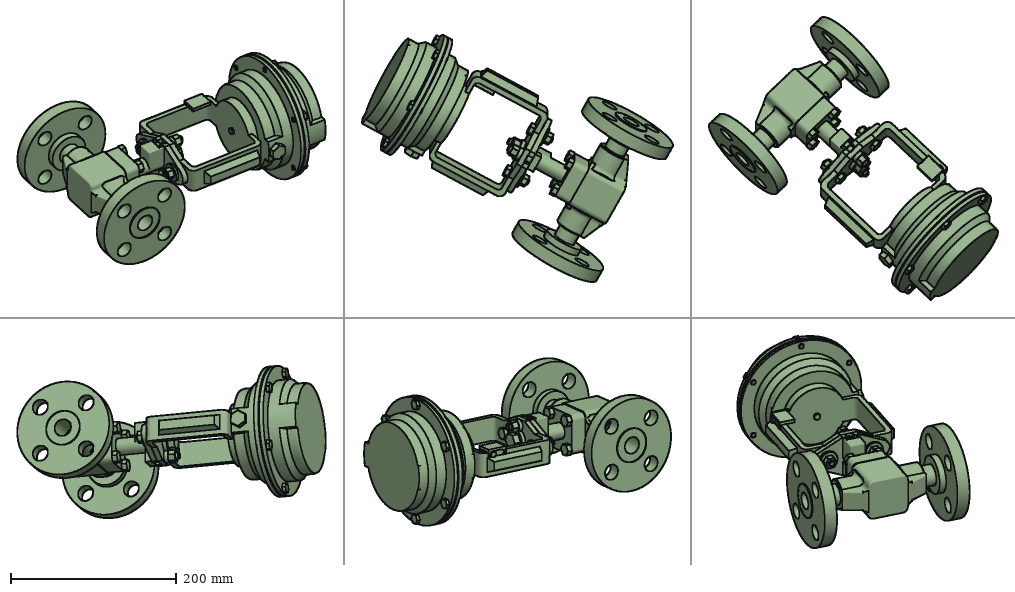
import cadquery as cq
import math


face_to_face = 193.55
flange_diameter = 117.475
flange_back_x = 79.2
raised_face_diameter = 42.9
raised_face_height = 1.3
hub_diameter = 47.7
hub_end_x = 70.7
pipe_diameter = 26.67
pipe_bore = 20.93
bolt_circle = 82.55
bolt_hole_diameter = 19.05
bolt_hole_count = 4

barrel_radius = 19.0
barrel_half_length = 55.3
barrel_chamfer = 1.2
block_half = 26.2
block_corner = 7.0
block_bottom_y = -31.8
block_top_y = 19.2
block_edge_fillet = 2.0
rib_half_width = 13.2
rib_flare_radius = 6.0
barrel_flare_half_depth = 22.0
rib_end_y = -barrel_radius
bonnet_half = 25.1
bonnet_corner = 6.6
bonnet_top_y = 38.9
bonnet_nut_offset = 18.5
bonnet_nut_height = 6.5
neck_radius = 10.3

clamp_half_width = neck_radius
clamp_bottom_y = 62.6
clamp_top_z = 25.5
clamp_edge_fillet = 1.5
lug_bottom_y = 76.7
lug_top_z = -7.5
clamp_slot_width = 15.6
clamp_slot_depth = 5.6
clamp_slot_floor_z = 10.5

plate_bottom_y = 85.0
plate_top_y = 92.0
plate_half_length = 51.3
plate_end_radius = 11.5
plate_half_height = 26.0
plate_flat_half = 11.0
stud_z = 18.3
stud_slot_half_width = 4.9
stud_radius = 4.0
stud_tip_bevel = 1.0
foot_bolt_x = 29.9

m8_across_flats = 13.0
m8_head_height = 5.3
m8_nut_height = 7.5
upper_nut_height = 8.5
lower_stud_overhang = 2.0
upper_stud_overhang = 4.2
m8_washer_height = 3.0
large_washer_radius = 11.4
small_washer_radius = 7.5
washer_stack_height = 5.2

yoke_outer_x = 59.7
yoke_thickness = 7.0
yoke_bottom_y = plate_top_y
yoke_top_y = 196.0
yoke_top_thickness = 5.5
yoke_half_depth = 15.3
yoke_outer_radius = 8.0
yoke_inner_radius = 5.0

pad_start_y = 110.3
pad_end_y = 187.7
pad_width = 18.4
pad_height = 9.7
pad_taper = 19.3

indicator_outer_x = -61.0
indicator_inner_x = -41.3
indicator_start_y = 160.9
indicator_end_y = 186.6
indicator_top_z = 19.5
indicator_skirt_z = 9.4
indicator_screw_y = 180.5
indicator_screw_z = 12.8
indicator_screw_radius = 3.6
indicator_screw_height = 2.0
indicator_slot_end_y = 163.9
indicator_slot_depth = 0.6

stem_washer_radius = 13.0
stem_nut_across_flats = 17.6

boss_radius = 38.4
boss_bottom_y = yoke_top_y - yoke_top_thickness
case_bottom_y = 203.0
case_top_y = 285.23
case_end_radius = 55.6
case_radius = 61.9
lower_cone_start_y = 216.8
lower_cone_end_y = 224.1
upper_cone_start_y = 264.3
upper_cone_end_y = 271.6
rim_radius = 79.375
rim_bottom_y = 237.9
rim_top_y = 249.8
rim_gap_y = 243.9
rim_gap_height = 1.0
rim_gap_depth = 1.0
end_bevel_height = 2.8
end_bevel_depth = 0.9
case_rib_half_width = 15.2
rim_screw_count = 6
rim_screw_circle = 72.8
rim_screw_across_flats = 11.0
rim_screw_head = 4.3
rim_screw_radius = 3.2
rim_screw_end = 1.0
stem_end_radius = 4.0
stem_end_length = 2.4
air_port_y = 213.8
air_port_across_flats = 17.5
air_port_end_x = 68.3


def cylinder_y(radius, start_y, end_y, x=0.0, z=0.0):
    return cq.Workplane("XZ", origin=(x, end_y, z)).circle(radius).extrude(end_y - start_y)


def hexagon_y(across_flats, start_y, end_y, x=0.0, z=0.0):
    """Hexagonal prism along Y with two of its corners pointing along X."""
    across_corners = across_flats / math.cos(math.radians(30))
    plane = cq.Workplane("XZ", origin=(x, end_y, z))
    return plane.polygon(6, across_corners).extrude(end_y - start_y)


def cylinder_x(radius, start_x, end_x, y=0.0, z=0.0):
    return cq.Workplane("YZ", origin=(start_x, y, z)).circle(radius).extrude(end_x - start_x)


def box_between(x0, x1, y0, y1, z0, z1):
    return cq.Workplane("XY").box(x1 - x0, y1 - y0, z1 - z0, centered=False).translate((x0, y0, z0))


def stud_end(start_y, length, x, z):
    """Stud tip with a bevelled end; a negative length makes it point towards -Y."""
    low_y, high_y = sorted((start_y, start_y + length))
    tip_face = ">Y" if length > 0 else "<Y"
    return cylinder_y(stud_radius, low_y, high_y, x, z).faces(tip_face).chamfer(stud_tip_bevel)


def foot_outline(corners):
    """Closed XZ outline that mirrors a chain of (x, z) corners in both axes."""
    upper = corners + [(-x, z) for x, z in reversed(corners)]
    return upper + [(-x, -z) for x, z in upper]


def make_pipe_flange(side):
    outer_x = face_to_face / 2
    face_x = outer_x - raised_face_height
    flange = cylinder_x(flange_diameter / 2, flange_back_x, face_x)
    flange = flange.union(cylinder_x(raised_face_diameter / 2, flange_back_x, outer_x))
    flange = flange.union(cylinder_x(hub_diameter / 2, hub_end_x, flange_back_x))
    flange = flange.union(cylinder_x(pipe_diameter / 2, barrel_half_length, hub_end_x))
    flange = flange.cut(cylinder_x(pipe_bore / 2, barrel_half_length, outer_x))
    for index in range(bolt_hole_count):
        angle = math.radians(360 / bolt_hole_count * (index + 0.5))
        hole_y = bolt_circle / 2 * math.cos(angle)
        hole_z = bolt_circle / 2 * math.sin(angle)
        flange = flange.cut(cylinder_x(bolt_hole_diameter / 2, flange_back_x, outer_x, hole_y, hole_z))
    if side < 0:
        flange = flange.rotate((0, 0, 0), (0, 1, 0), 180)
    return flange


def make_block():
    """Main block with rounded corners and concave flares that lead into the ribs."""
    flare_end_x = block_half + rib_flare_radius
    corner_z = block_half - block_corner
    outline = (
        cq.Workplane("XZ", origin=(0, block_top_y, 0))
        .moveTo(-flare_end_x, -rib_half_width)
        .radiusArc((-block_half, -corner_z), rib_flare_radius)
        .radiusArc((-corner_z, -block_half), -block_corner)
        .lineTo(corner_z, -block_half)
        .radiusArc((block_half, -corner_z), -block_corner)
        .radiusArc((flare_end_x, -rib_half_width), rib_flare_radius)
        .lineTo(flare_end_x, rib_half_width)
        .radiusArc((block_half, corner_z), rib_flare_radius)
        .radiusArc((corner_z, block_half), -block_corner)
        .lineTo(-corner_z, block_half)
        .radiusArc((-block_half, corner_z), -block_corner)
        .radiusArc((-flare_end_x, rib_half_width), rib_flare_radius)
        .close()
    )
    block = outline.extrude(block_top_y - block_bottom_y)
    block = block.intersect(rib_side_prism(block_top_y, block_half))
    front_edges = block.faces("<Y").edges("%CIRCLE or >Z or <Z")
    return front_edges.fillet(block_edge_fillet)


def rib_side_prism(top_y, half_width):
    """Prism along Z whose lower side slopes up from the block towards both ends of the barrel."""
    side_profile = [
        (-barrel_half_length, rib_end_y),
        (-block_half, block_bottom_y),
        (block_half, block_bottom_y),
        (barrel_half_length, rib_end_y),
        (barrel_half_length, top_y),
        (-barrel_half_length, top_y),
    ]
    prism = cq.Workplane("XY", origin=(0, 0, -half_width)).polyline(side_profile).close()
    return prism.extrude(2 * half_width)


def make_ribs():
    sloped_edges = "(>Z or <Z) and (not #X) and (not |X)"
    return rib_side_prism(0, rib_half_width).edges(sloped_edges).fillet(block_edge_fillet)


def make_bonnet():
    bonnet = box_between(-bonnet_half, bonnet_half, block_top_y, bonnet_top_y, -bonnet_half, bonnet_half)
    bonnet = bonnet.edges("|Y").fillet(bonnet_corner)
    nut_top_y = bonnet_top_y + bonnet_nut_height
    for x in (-bonnet_nut_offset, bonnet_nut_offset):
        for z in (-bonnet_nut_offset, bonnet_nut_offset):
            bonnet = bonnet.union(hexagon_y(m8_across_flats, bonnet_top_y, nut_top_y, x, z))
    return bonnet.union(cylinder_y(neck_radius, bonnet_top_y, plate_bottom_y))


def make_clamp():
    """Clamp block on the neck, with a slot for the head of the upper stud, and a shorter lower lug."""
    clamp = box_between(-clamp_half_width, clamp_half_width, clamp_bottom_y, plate_bottom_y, 0, clamp_top_z)
    clamp = clamp.edges("(>Z or <Y) and (not >Y) and (not <Z)").fillet(clamp_edge_fillet)
    slot = box_between(
        -clamp_slot_width / 2,
        clamp_slot_width / 2,
        plate_bottom_y - clamp_slot_depth,
        plate_bottom_y,
        clamp_slot_floor_z,
        clamp_top_z,
    )
    lug = box_between(
        -clamp_half_width, clamp_half_width, lug_bottom_y, plate_bottom_y, -clamp_top_z, lug_top_z
    )
    return clamp.cut(slot).union(lug)


def make_mounting_plate():
    """Diamond plate with rounded ends and an open slot at the top and bottom for the studs."""
    end_x = plate_half_length - plate_end_radius
    slope = math.atan2(plate_half_height - plate_end_radius, end_x - plate_flat_half)
    tangent_x = end_x + plate_end_radius * math.sin(slope)
    tangent_z = plate_end_radius * math.cos(slope)
    outline = (
        cq.Workplane("XZ", origin=(0, plate_top_y, 0))
        .moveTo(-plate_flat_half, plate_half_height)
        .lineTo(plate_flat_half, plate_half_height)
        .lineTo(tangent_x, tangent_z)
        .threePointArc((plate_half_length, 0), (tangent_x, -tangent_z))
        .lineTo(plate_flat_half, -plate_half_height)
        .lineTo(-plate_flat_half, -plate_half_height)
        .lineTo(-tangent_x, -tangent_z)
        .threePointArc((-plate_half_length, 0), (-tangent_x, tangent_z))
        .close()
    )
    plate = outline.extrude(plate_top_y - plate_bottom_y)
    for side in (-1, 1):
        z0, z1 = sorted((side * stud_z, side * plate_half_height))
        slot = box_between(-stud_slot_half_width, stud_slot_half_width, plate_bottom_y, plate_top_y, z0, z1)
        slot = slot.union(cylinder_y(stud_slot_half_width, plate_bottom_y, plate_top_y, 0, side * stud_z))
        head = hexagon_y(m8_across_flats, plate_bottom_y - m8_head_height, plate_bottom_y, 0, side * stud_z)
        shank = cylinder_y(stud_radius, plate_bottom_y, plate_top_y, 0, side * stud_z)
        plate = plate.cut(slot).union(head).union(shank)
    nut_top_y = plate_bottom_y - m8_washer_height
    nut_bottom_y = nut_top_y - m8_nut_height
    for x in (-foot_bolt_x, foot_bolt_x):
        plate = plate.union(cylinder_y(large_washer_radius, nut_top_y, plate_bottom_y, x))
        plate = plate.union(hexagon_y(m8_across_flats, nut_bottom_y, nut_top_y, x))
        plate = plate.union(stud_end(nut_bottom_y, -lower_stud_overhang, x, 0))
    return plate


def make_barrel():
    """Round barrel along the pipe, widening in concave blends where it meets the block."""
    barrel = cylinder_x(barrel_radius, -barrel_half_length, barrel_half_length)
    barrel = barrel.faces("<X or >X").chamfer(barrel_chamfer)
    flare_end_x = block_half + rib_flare_radius
    flare_top = barrel_radius + rib_flare_radius
    flare = (
        cq.Workplane("XY")
        .lineTo(flare_end_x, 0)
        .lineTo(flare_end_x, barrel_radius)
        .radiusArc((block_half, flare_top), rib_flare_radius)
        .lineTo(0, flare_top)
        .close()
        .revolve(360, (0, 0, 0), (1, 0, 0))
    )
    flare = flare.union(flare.mirror("YZ"))
    limit = box_between(
        -flare_end_x,
        flare_end_x,
        block_bottom_y,
        block_top_y,
        -barrel_flare_half_depth,
        barrel_flare_half_depth,
    )
    return barrel.union(flare.intersect(limit))


def make_valve_body():
    body = make_block().union(make_ribs())
    return body.union(make_barrel()).union(make_bonnet()).union(make_clamp()).union(make_mounting_plate())


def make_yoke():
    inner_x = yoke_outer_x - yoke_thickness
    frame = box_between(
        -yoke_outer_x, yoke_outer_x, yoke_bottom_y, yoke_top_y, -yoke_half_depth, yoke_half_depth
    )
    window = box_between(
        -inner_x,
        inner_x,
        yoke_bottom_y + yoke_thickness,
        yoke_top_y - yoke_top_thickness,
        -yoke_half_depth,
        yoke_half_depth,
    )
    frame = frame.edges("|Z").fillet(yoke_outer_radius)
    frame = frame.cut(window.edges("|Z").fillet(yoke_inner_radius))

    slope = (plate_half_height - plate_end_radius) / (plate_half_length - plate_end_radius - plate_flat_half)
    foot_end_x = plate_flat_half + (plate_half_height - yoke_half_depth) / slope
    foot_corners = [(foot_end_x, yoke_half_depth), (plate_flat_half, plate_half_height)]
    foot_top_y = yoke_bottom_y + yoke_thickness
    foot = cq.Workplane("XZ", origin=(0, foot_top_y, 0)).polyline(foot_outline(foot_corners)).close()
    frame = frame.union(foot.extrude(yoke_thickness))

    for side in (-1, 1):
        frame = frame.union(make_pad(side))
    return frame.union(make_foot_fasteners(foot_top_y))


def make_pad(side):
    pad_length = pad_end_y - pad_start_y
    pad = cq.Workplane("YZ", origin=(yoke_outer_x, (pad_start_y + pad_end_y) / 2, 0))
    pad = pad.rect(pad_length, pad_width).extrude(pad_height, taper=pad_taper)
    return pad if side > 0 else pad.mirror("YZ")


def make_foot_fasteners(foot_top_y):
    """Screw heads, stud nuts and the stem nut that sit on the foot of the yoke."""
    parts = cylinder_y(stem_washer_radius, foot_top_y, foot_top_y + washer_stack_height)
    nut_bottom_y = foot_top_y + washer_stack_height
    nut_top_y = nut_bottom_y + upper_nut_height
    parts = parts.union(hexagon_y(stem_nut_across_flats, nut_bottom_y, nut_top_y))
    for z in (-stud_z, stud_z):
        parts = parts.union(cylinder_y(small_washer_radius, foot_top_y, nut_bottom_y, 0, z))
        parts = parts.union(hexagon_y(m8_across_flats, nut_bottom_y, nut_top_y, 0, z))
        parts = parts.union(stud_end(nut_top_y, upper_stud_overhang, 0, z))
    for x in (-foot_bolt_x, foot_bolt_x):
        parts = parts.union(hexagon_y(m8_across_flats, foot_top_y, foot_top_y + m8_head_height, x))
    return parts


def make_indicator():
    """Indicator plate on top of the yoke arm, its slotted side skirt and the screw in the slot."""
    plate = box_between(
        indicator_outer_x,
        indicator_inner_x,
        indicator_start_y,
        indicator_end_y,
        yoke_half_depth,
        indicator_top_z,
    )
    skirt = box_between(
        indicator_outer_x,
        -yoke_outer_x,
        indicator_start_y,
        indicator_end_y,
        indicator_skirt_z,
        indicator_top_z,
    )
    slot_length = indicator_screw_y + indicator_screw_radius - indicator_slot_end_y
    slot_middle_y = indicator_slot_end_y + slot_length / 2
    slot = cq.Workplane("YZ", origin=(indicator_outer_x, slot_middle_y, indicator_screw_z))
    slot = slot.slot2D(slot_length, 2 * indicator_screw_radius).extrude(indicator_slot_depth)
    screw = cylinder_x(
        indicator_screw_radius,
        indicator_outer_x - indicator_screw_height,
        -yoke_outer_x,
        indicator_screw_y,
        indicator_screw_z,
    )
    return plate.union(skirt).cut(slot).union(screw)


def make_case():
    """Revolved diaphragm case with a boss, a split rim and a straight rib on its +X side."""
    profile = [
        (0, boss_bottom_y),
        (boss_radius, boss_bottom_y),
        (boss_radius, case_bottom_y),
        (case_end_radius, case_bottom_y),
        (case_end_radius, lower_cone_start_y),
        (case_radius, lower_cone_end_y),
        (case_radius, rim_bottom_y),
        (rim_radius, rim_bottom_y),
        (rim_radius, rim_gap_y - rim_gap_height / 2),
        (rim_radius - rim_gap_depth, rim_gap_y - rim_gap_height / 2),
        (rim_radius - rim_gap_depth, rim_gap_y + rim_gap_height / 2),
        (rim_radius, rim_gap_y + rim_gap_height / 2),
        (rim_radius, rim_top_y),
        (case_radius, rim_top_y),
        (case_radius, upper_cone_start_y),
        (case_end_radius, upper_cone_end_y),
        (case_end_radius, case_top_y),
        (0, case_top_y),
    ]
    case = cq.Workplane("XY").polyline(profile).close().revolve(360, (0, 0, 0), (0, 1, 0))
    for end_y, inward in ((case_bottom_y, 1), (case_top_y, -1)):
        case = case.cut(make_end_bevel(end_y, inward))
    rib = box_between(
        0, case_radius, case_bottom_y, case_top_y, -case_rib_half_width, case_rib_half_width
    )
    round_limit = cylinder_y(case_radius, case_bottom_y, case_top_y)
    return case.union(rib.intersect(round_limit))


def make_end_bevel(end_y, inward):
    """Ring that bevels an end of the case, interrupted by plain zones on the +X and -X sides."""
    bevel = (
        cq.Workplane("XY")
        .moveTo(case_end_radius - end_bevel_depth, end_y)
        .lineTo(case_end_radius + end_bevel_depth, end_y)
        .lineTo(case_end_radius + end_bevel_depth, end_y + inward * end_bevel_height)
        .lineTo(case_end_radius, end_y + inward * end_bevel_height)
        .close()
        .revolve(360, (0, 0, 0), (0, 1, 0))
    )
    plain_zone = box_between(
        -rim_radius,
        rim_radius,
        end_y - end_bevel_height,
        end_y + end_bevel_height,
        -case_rib_half_width,
        case_rib_half_width,
    )
    return bevel.cut(plain_zone)


def make_rim_screw(index):
    angle = math.radians(90 + 360 / rim_screw_count * index)
    x = rim_screw_circle * math.cos(angle)
    z = rim_screw_circle * math.sin(angle)
    head = hexagon_y(rim_screw_across_flats, rim_top_y, rim_top_y + rim_screw_head, x, z)
    end = cylinder_y(rim_screw_radius, rim_bottom_y - rim_screw_end, rim_bottom_y, x, z)
    return head.union(end.faces("<Y").chamfer(rim_screw_end / 2))


def make_air_port():
    across_corners = air_port_across_flats / math.cos(math.radians(30))
    port = cq.Workplane("XY").polygon(6, across_corners).extrude(air_port_end_x - case_end_radius)
    port = port.rotate((0, 0, 0), (0, 1, 0), 90)
    return port.translate((case_end_radius, air_port_y, 0))


def make_actuator():
    actuator = make_case().union(make_yoke()).union(make_indicator()).union(make_air_port())
    for index in range(rim_screw_count):
        actuator = actuator.union(make_rim_screw(index))
    stem_end = cylinder_y(stem_end_radius, boss_bottom_y - stem_end_length, boss_bottom_y)
    return actuator.union(stem_end)


valve_body = make_valve_body()
actuator = make_actuator()
pipe_flanges = [make_pipe_flange(side) for side in (-1, 1)]
result = cq.Compound.makeCompound(
    [valve_body.val(), actuator.val(), *[flange.val() for flange in pipe_flanges]]
)